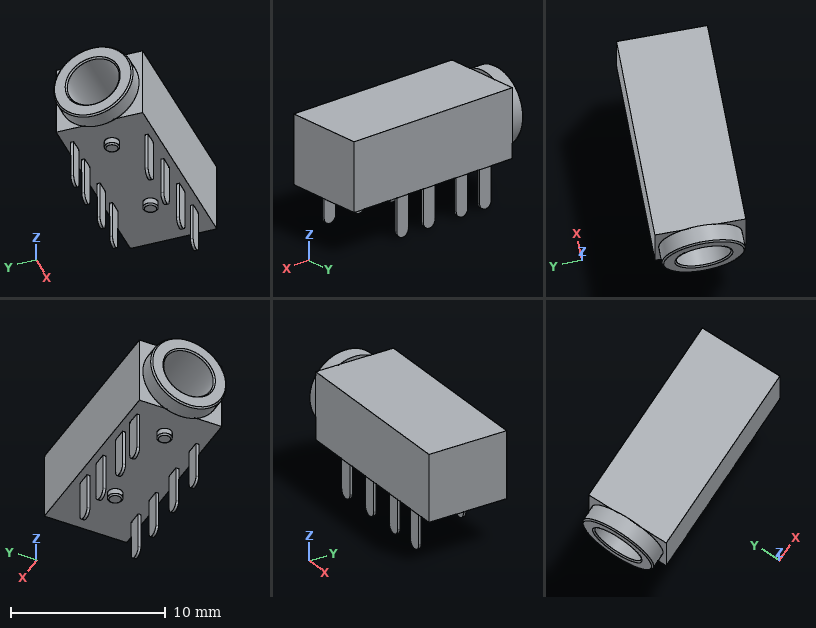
import cadquery as cq

total_length = 14.7
body_width = 6.0
body_height = 5.0

collar_length = 1.2
collar_diameter = 5.5
edge_chamfer = 0.1

bore_diameter = 3.6
bore_depth = 14.0

peg_diameter = 1.0
peg_height = 0.5
first_peg_x = 3.5
peg_spacing = 7.0

pin_width = 1.0
pin_thickness = 0.2
pin_length = 3.2
pin_row_offset = 2.4
front_pin_positions = [4.01, 6.85, 9.7, 12.2]
back_pin_positions = [3.06, 5.05, 7.85, 10.11]

body_length = total_length - collar_length
axis_height = body_height / 2


def make_body():
    return (
        cq.Workplane("XY")
        .box(body_length, body_width, body_height, centered=(False, True, False))
        .translate((collar_length, 0, 0))
    )


def make_collar():
    return (
        cq.Workplane("YZ", origin=(0, 0, axis_height))
        .circle(collar_diameter / 2)
        .extrude(collar_length)
        .faces("<X")
        .chamfer(edge_chamfer)
    )


def make_bore():
    """Socket bore with a cone that chamfers its mouth."""
    radius = bore_diameter / 2
    return (
        cq.Workplane("XY", origin=(0, 0, axis_height))
        .polyline([
            (0, 0),
            (0, radius + edge_chamfer),
            (edge_chamfer, radius),
            (bore_depth, radius),
            (bore_depth, 0),
        ])
        .close()
        .revolve(360, (0, 0, 0), (1, 0, 0))
    )


def make_peg(x):
    return (
        cq.Workplane("XY", origin=(x, 0, 0))
        .circle(peg_diameter / 2)
        .extrude(-peg_height)
        .faces("<Z")
        .chamfer(edge_chamfer)
    )


def make_pin(x, y):
    tip_radius = pin_width / 2
    straight_end = tip_radius - pin_length
    return (
        cq.Workplane("XZ", origin=(x, y, 0))
        .moveTo(-tip_radius, 0)
        .lineTo(-tip_radius, straight_end)
        .threePointArc((0, -pin_length), (tip_radius, straight_end))
        .lineTo(tip_radius, 0)
        .close()
        .extrude(pin_thickness / 2, both=True)
    )


result = make_body().union(make_collar()).cut(make_bore())

for peg_x in (first_peg_x, first_peg_x + peg_spacing):
    result = result.union(make_peg(peg_x))

for pin_x in front_pin_positions:
    result = result.union(make_pin(pin_x, -pin_row_offset))

for pin_x in back_pin_positions:
    result = result.union(make_pin(pin_x, pin_row_offset))